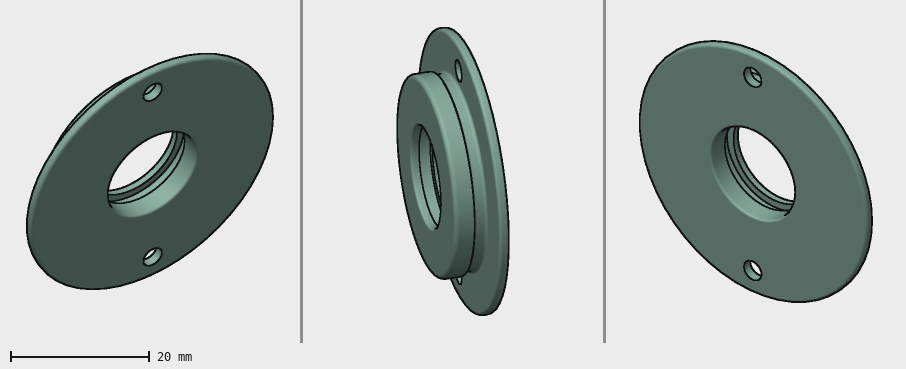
import cadquery as cq

total_length = 6.5
flange_diameter = 41.85
flange_thickness = 1.5
flange_rounding = 0.5

boss_diameter = 29.9
boss_length = 3.0
boss_rounding = 0.7
relief_diameter = 28.8
relief_boss_fillet = 0.4
relief_flange_fillet = 0.5

bore_diameter = 15.1
bore_rounding = 0.38
ring_groove_diameter = 17.45
ring_groove_start = 1.3
ring_groove_width = 2.0

flange_hole_diameter = 3.2
flange_hole_radius = 17.0

flange_start = total_length - flange_thickness


def disc(diameter, start, length):
    """Solid cylinder along X, beginning at X = start."""
    return cq.Workplane("YZ", origin=(start, 0, 0)).circle(diameter / 2).extrude(length)


def circle_edges(body, diameter, x):
    """Circular edge of the given diameter, centred on the axis at position x."""
    tolerance = 0.005
    radius = diameter / 2
    corner = (x - tolerance, -radius - tolerance, -radius - tolerance)
    opposite = (x + tolerance, radius + tolerance, radius + tolerance)
    inside = cq.selectors.BoxSelector(corner, opposite, boundingbox=True)
    return body.edges(inside).edges(cq.selectors.RadiusNthSelector(-1))


body = disc(boss_diameter, 0, boss_length)
body = body.union(disc(relief_diameter, boss_length, flange_start - boss_length))
body = body.union(disc(flange_diameter, flange_start, flange_thickness))

body = body.cut(disc(bore_diameter, 0, total_length))
body = body.cut(disc(ring_groove_diameter, ring_groove_start, ring_groove_width))

roundings = [
    (boss_diameter, 0, boss_rounding),
    (relief_diameter, boss_length, relief_boss_fillet),
    (relief_diameter, flange_start, relief_flange_fillet),
    (flange_diameter, flange_start, flange_rounding),
    (flange_diameter, total_length, flange_rounding),
    (bore_diameter, 0, bore_rounding),
    (bore_diameter, total_length, bore_rounding),
]
for diameter, x, radius in roundings:
    body = circle_edges(body, diameter, x).fillet(radius)

for side in (-1, 1):
    hole = disc(flange_hole_diameter, flange_start, flange_thickness)
    body = body.cut(hole.translate((0, 0, side * flange_hole_radius)))

result = body